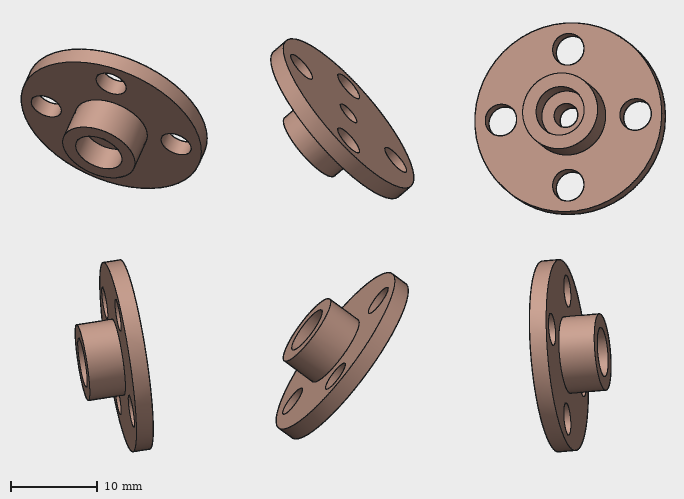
import cadquery as cq

flange_diameter = 22.2
flange_thickness = 2.0

total_depth = 6.2
hub_diameter = 8.9
hub_length = total_depth - flange_thickness

bore_diameter = 2.8
counterbore_diameter = 5.7
counterbore_depth = 3.0

mounting_hole_count = 4
mounting_hole_diameter = 3.7
bolt_circle_radius = 8.0


def cylinder_toward_front(diameter, back_y, length):
    """Cylinder on the Y axis, running from back_y toward -Y."""
    plane = cq.Workplane("XZ", origin=(0, back_y, 0))
    return plane.circle(diameter / 2).extrude(length)


flange = cylinder_toward_front(flange_diameter, 0, flange_thickness)
hub = cylinder_toward_front(hub_diameter, -flange_thickness, hub_length)

bore = cylinder_toward_front(bore_diameter, 0, total_depth)
counterbore = cylinder_toward_front(
    counterbore_diameter, counterbore_depth - total_depth, counterbore_depth
)

mounting_holes = (
    cq.Workplane("XZ")
    .polarArray(bolt_circle_radius, 0, 360, mounting_hole_count)
    .circle(mounting_hole_diameter / 2)
    .extrude(flange_thickness)
)

result = flange.union(hub).cut(bore).cut(counterbore).cut(mounting_holes)